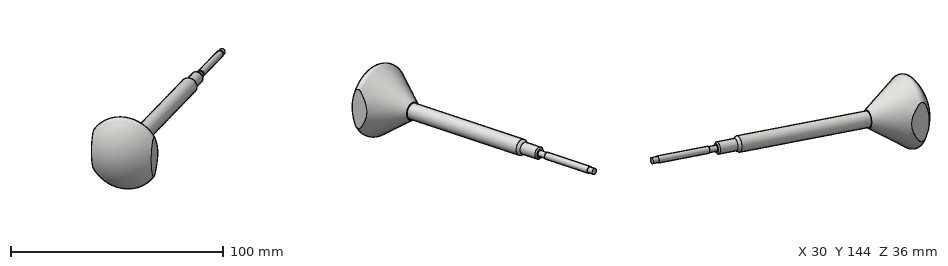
import cadquery as cq
import math

total_length = 144.0
tip_end = 3.0
pin_end = 30.0
neck_end = 34.0
collar_end = 44.0
shaft_end = 114.0

tip_radius = 1.5
pin_radius = 1.75
neck_radius = 1.5
collar_radius = 3.0
shaft_radius = 4.0

pin_chamfer_length = 0.3
collar_chamfer = 0.7
shaft_chamfer_length = 1.6

cone_start_radius = 4.5
rim_radius = 18.0
rim_rounding = 3.0
dome_radius = 25.0
handle_width = 30.0


def revolve_about_y(profile):
    """Close the half profile and turn it fully about the Y axis."""
    return profile.close().revolve(360, (0, 0, 0), (0, 1, 0))


def y_at(station):
    """The tip points to +Y and the dome apex lies at the origin."""
    return total_length - station


def make_pin():
    """Tip, driving pin and neck, turned in one piece."""
    return revolve_about_y(
        cq.Workplane("XY")
        .moveTo(0, y_at(0))
        .lineTo(-tip_radius, y_at(0))
        .lineTo(-tip_radius, y_at(tip_end))
        .lineTo(-pin_radius, y_at(tip_end))
        .lineTo(-pin_radius, y_at(pin_end - pin_chamfer_length))
        .lineTo(-neck_radius, y_at(pin_end))
        .lineTo(-neck_radius, y_at(neck_end))
        .lineTo(0, y_at(neck_end))
    )


def make_shaft():
    """Chamfered collar and shaft, turned in one piece."""
    return revolve_about_y(
        cq.Workplane("ZY")
        .moveTo(0, y_at(neck_end))
        .lineTo(collar_radius - collar_chamfer, y_at(neck_end))
        .lineTo(collar_radius, y_at(neck_end + collar_chamfer))
        .lineTo(collar_radius, y_at(collar_end))
        .lineTo(shaft_radius, y_at(collar_end + shaft_chamfer_length))
        .lineTo(shaft_radius, y_at(shaft_end))
        .lineTo(0, y_at(shaft_end))
    )


def make_handle():
    """Cone, rounded rim and dome of the knob, with a flat on each X side."""
    rim_center_radius = rim_radius - rim_rounding
    dome_center_y = dome_radius
    center_distance = dome_radius - rim_rounding
    dome_angle = math.asin(rim_center_radius / center_distance)
    rim_center_y = dome_center_y - center_distance * math.cos(dome_angle)

    def rim_point(angle):
        """Point on the rim circle, angle measured from the -Y direction."""
        radius = rim_center_radius + rim_rounding * math.sin(angle)
        return radius, rim_center_y - rim_rounding * math.cos(angle)

    run_y = y_at(shaft_end) - rim_center_y
    run_radius = rim_center_radius - cone_start_radius
    span = math.hypot(run_y, run_radius)
    cone_half_angle = math.atan2(run_radius, run_y) + math.asin(rim_rounding / span)
    cone_angle = math.pi / 2 + cone_half_angle

    dome_mid_angle = dome_angle / 2
    dome_mid = (
        dome_radius * math.sin(dome_mid_angle),
        dome_center_y - dome_radius * math.cos(dome_mid_angle),
    )
    knob = revolve_about_y(
        cq.Workplane("ZY")
        .moveTo(0, y_at(shaft_end))
        .lineTo(cone_start_radius, y_at(shaft_end))
        .lineTo(*rim_point(cone_angle))
        .threePointArc(rim_point((cone_angle + dome_angle) / 2), rim_point(dome_angle))
        .threePointArc(dome_mid, (0, 0))
    )
    block_size = 2 * total_length
    between_flats = cq.Workplane("XY").box(handle_width, block_size, block_size)
    return knob.intersect(between_flats)


result = make_handle().union(make_shaft()).union(make_pin())